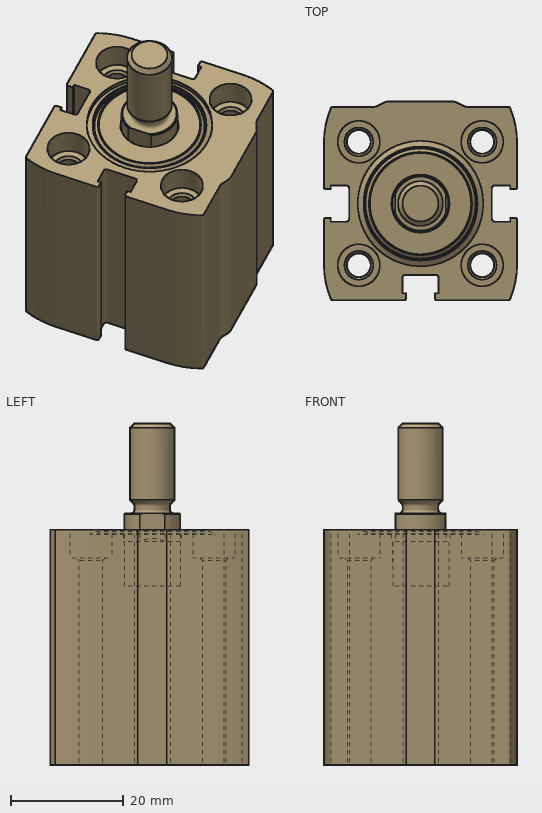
import cadquery as cq

TOTAL_HEIGHT = 61.0
HOUSING_HEIGHT = 42.0
HOUSING_HALF = 17.25

SIDE_FLAT_HALF = 10.8
CORNER_X = 15.9
CORNER_RADIUS = 0.5
BOW_RADIUS = ((HOUSING_HALF - SIDE_FLAT_HALF) ** 2 + (HOUSING_HALF - CORNER_X) ** 2) / (
    2 * (HOUSING_HALF - CORNER_X))
BACK_PAD_HEIGHT = 1.0
BACK_PAD_TOP_HALF = 6.1
BACK_PAD_BASE_HALF = 8.05
BACK_PAD_RADIUS = 1.8

SLOT_MOUTH_WIDTH = 5.1
SLOT_INNER_WIDTH = 6.4
SLOT_LIP = 1.3
SLOT_DEPTH = 4.5
SLOT_MOUTH_RADIUS = 0.35
SLOT_FLOOR_RADIUS = 0.5

BOLT_PITCH = 22.0
BOLT_HOLE_DIAMETER = 4.2
BOLT_SINK_DIAMETER = 5.1
COUNTERBORE_DIAMETER = 7.5
COUNTERBORE_DEPTH = 5.0

RECESS_RADIUS = 22.4 / 2
RECESS_DEPTH = 0.8
RING_OUTER_RADIUS = 10.2
RING_INNER_RADIUS = 20.0 / 2
RING_DEPTH = 0.25
GROOVE_RADIUS = 9.8
GROOVE_DEPTH = 0.6
LIP_OUTER_RADIUS = 9.2
LIP_INNER_RADIUS = 9.0
LIP_DEPTH = 0.1
COVER_DEPTH = 0.25

ROD_DIAMETER = 10.0
ROD_FLATS_WIDTH = 8.95
ROD_EDGE_CHAMFER = 0.2
ROD_SHOULDER = 2.9
ROD_DEPTH = 10.0
THREAD_DIAMETER = 8.0
THREAD_START = 5.3
THREAD_TIP_CHAMFER = 0.8
NECK_DIAMETER = 6.4
NECK_FILLET = 0.7
ROD_CLEARANCE = 0.2
CLEARANCE_DEPTH = 2.0
FLATS_DEPTH = 1.5


def housing_blank():
    """Extruded outline with bowed side ends and a raised pad on the back."""
    half = HOUSING_HALF
    bow_mid_y = (SIDE_FLAT_HALF + half) / 2
    bow_mid_x = half - BOW_RADIUS + (BOW_RADIUS ** 2 - (bow_mid_y - SIDE_FLAT_HALF) ** 2) ** 0.5
    block = (
        cq.Workplane("XY")
        .moveTo(-CORNER_X, -half)
        .lineTo(CORNER_X, -half)
        .threePointArc((bow_mid_x, -bow_mid_y), (half, -SIDE_FLAT_HALF))
        .lineTo(half, SIDE_FLAT_HALF)
        .threePointArc((bow_mid_x, bow_mid_y), (CORNER_X, half))
        .lineTo(BACK_PAD_BASE_HALF, half)
        .lineTo(BACK_PAD_TOP_HALF, half + BACK_PAD_HEIGHT)
        .lineTo(-BACK_PAD_TOP_HALF, half + BACK_PAD_HEIGHT)
        .lineTo(-BACK_PAD_BASE_HALF, half)
        .lineTo(-CORNER_X, half)
        .threePointArc((-bow_mid_x, bow_mid_y), (-half, SIDE_FLAT_HALF))
        .lineTo(-half, -SIDE_FLAT_HALF)
        .threePointArc((-bow_mid_x, -bow_mid_y), (-CORNER_X, -half))
        .close()
        .extrude(HOUSING_HEIGHT)
    )
    corners = [(x, y) for x in (-CORNER_X, CORNER_X) for y in (-half, half)]
    block = fillet_uprights(block, corners, CORNER_RADIUS)
    pad_edges = [
        (side * x, y)
        for side in (-1, 1)
        for x, y in ((BACK_PAD_BASE_HALF, half), (BACK_PAD_TOP_HALF, half + BACK_PAD_HEIGHT))
    ]
    return fillet_uprights(block, pad_edges, BACK_PAD_RADIUS)


def fillet_uprights(body, places, radius):
    """Round the vertical edges of a body that stand at the given XY places."""
    tolerance = 0.005
    edges = cq.Workplane("XY").newObject([
        edge for edge in body.edges("|Z").vals()
        if any(abs(edge.Center().x - x) < tolerance and abs(edge.Center().y - y) < tolerance
               for x, y in places)
    ])
    return body.newObject([body.val().fillet(radius, edges.vals())])


def slot_cutter():
    """T-slot through the full height, open towards -Y."""
    mouth_y = -HOUSING_HALF
    lip_y = mouth_y + SLOT_LIP
    floor_y = mouth_y + SLOT_DEPTH
    mouth_half = SLOT_MOUTH_WIDTH / 2
    inner_half = SLOT_INNER_WIDTH / 2
    radius = SLOT_MOUTH_RADIUS
    arc_inset = radius * (1 - 0.5 ** 0.5)
    slot = (
        cq.Workplane("XY")
        .moveTo(-mouth_half - radius, mouth_y)
        .lineTo(mouth_half + radius, mouth_y)
        .threePointArc((mouth_half + arc_inset, mouth_y + arc_inset), (mouth_half, mouth_y + radius))
        .lineTo(mouth_half, lip_y)
        .lineTo(inner_half, lip_y)
        .lineTo(inner_half, floor_y)
        .lineTo(-inner_half, floor_y)
        .lineTo(-inner_half, lip_y)
        .lineTo(-mouth_half, lip_y)
        .lineTo(-mouth_half, mouth_y + radius)
        .threePointArc((-mouth_half - arc_inset, mouth_y + arc_inset), (-mouth_half - radius, mouth_y))
        .close()
        .extrude(HOUSING_HEIGHT)
    )
    return fillet_uprights(slot, [(-inner_half, floor_y), (inner_half, floor_y)], SLOT_FLOOR_RADIUS)


def bolt_hole_cutter():
    """Counterbored through hole with a countersunk counterbore floor, on the Z axis."""
    floor_z = HOUSING_HEIGHT - COUNTERBORE_DEPTH
    hole_radius = BOLT_HOLE_DIAMETER / 2
    sink_radius = BOLT_SINK_DIAMETER / 2
    bore_radius = COUNTERBORE_DIAMETER / 2
    return revolve_profile(
        cq.Workplane("XZ")
        .moveTo(0, 0)
        .lineTo(hole_radius, 0)
        .lineTo(hole_radius, floor_z - (sink_radius - hole_radius))
        .lineTo(sink_radius, floor_z)
        .lineTo(bore_radius, floor_z)
        .lineTo(bore_radius, HOUSING_HEIGHT)
        .lineTo(0, HOUSING_HEIGHT)
    )


def revolve_profile(profile):
    """Close a half profile in the XZ plane and revolve it around the Z axis."""
    return profile.close().revolve(360, (0, 0, 0), (0, 1, 0))


def cover_recess_cutter():
    """Retaining ring, V-groove, lip and sunken cover face around the rod."""
    top = HOUSING_HEIGHT
    return revolve_profile(
        cq.Workplane("XZ")
        .moveTo(0, top)
        .lineTo(RECESS_RADIUS, top)
        .lineTo(RECESS_RADIUS, top - RECESS_DEPTH)
        .lineTo(RING_OUTER_RADIUS, top - RING_DEPTH)
        .lineTo(RING_INNER_RADIUS, top - RING_DEPTH)
        .lineTo(GROOVE_RADIUS, top - GROOVE_DEPTH)
        .lineTo(LIP_OUTER_RADIUS, top - LIP_DEPTH)
        .lineTo(LIP_INNER_RADIUS, top - LIP_DEPTH)
        .lineTo(LIP_INNER_RADIUS, top - COVER_DEPTH)
        .lineTo(0, top - COVER_DEPTH)
    )


def rod_bore_cutter():
    """Blind bore that fits the rod, widened to a clearance at its mouth."""
    bore_radius = ROD_DIAMETER / 2
    bore = (
        cq.Workplane("XY", origin=(0, 0, HOUSING_HEIGHT - ROD_DEPTH))
        .circle(bore_radius)
        .extrude(ROD_DEPTH)
    )
    mouth = (
        cq.Workplane("XY", origin=(0, 0, HOUSING_HEIGHT - CLEARANCE_DEPTH))
        .circle(bore_radius + ROD_CLEARANCE)
        .extrude(CLEARANCE_DEPTH)
    )
    return bore.union(mouth)


def make_housing():
    housing = housing_blank()
    axis_start, axis_end = (0, 0, 0), (0, 0, 1)
    for angle in (-90, 0, 90):
        housing = housing.cut(slot_cutter().rotate(axis_start, axis_end, angle))
    for x in (-BOLT_PITCH / 2, BOLT_PITCH / 2):
        for y in (-BOLT_PITCH / 2, BOLT_PITCH / 2):
            housing = housing.cut(bolt_hole_cutter().translate((x, y, 0)))
    return housing.cut(cover_recess_cutter()).cut(rod_bore_cutter())


def turned_rod():
    """Rod with a chamfered shoulder, a filleted neck and a chamfered thread end."""
    rod_radius = ROD_DIAMETER / 2
    thread_radius = THREAD_DIAMETER / 2
    neck_radius = NECK_DIAMETER / 2
    shoulder_z = HOUSING_HEIGHT + ROD_SHOULDER
    thread_z = HOUSING_HEIGHT + THREAD_START
    diagonal = NECK_FILLET * 0.5 ** 0.5
    fillet_dip = NECK_FILLET - diagonal
    cone_radius = neck_radius + fillet_dip
    cone_z = thread_z - (thread_radius - cone_radius)
    neck_top_z = cone_z - diagonal
    profile = (
        cq.Workplane("XZ")
        .moveTo(0, HOUSING_HEIGHT - ROD_DEPTH)
        .lineTo(rod_radius, HOUSING_HEIGHT - ROD_DEPTH)
        .lineTo(rod_radius, shoulder_z - ROD_EDGE_CHAMFER)
        .lineTo(rod_radius - ROD_EDGE_CHAMFER, shoulder_z)
        .lineTo(neck_radius + NECK_FILLET, shoulder_z)
        .threePointArc((neck_radius + fillet_dip, shoulder_z + fillet_dip),
                       (neck_radius, shoulder_z + NECK_FILLET))
        .lineTo(neck_radius, neck_top_z)
        .tangentArcPoint((cone_radius, cone_z), relative=False)
        .lineTo(thread_radius, thread_z)
        .lineTo(thread_radius, TOTAL_HEIGHT - THREAD_TIP_CHAMFER)
        .lineTo(thread_radius - THREAD_TIP_CHAMFER, TOTAL_HEIGHT)
        .lineTo(0, TOTAL_HEIGHT)
    )
    return revolve_profile(profile)


def wrench_flats_cutter():
    """Material outside the two wrench flats, ending below on a 45 degree cone."""
    flat_half = ROD_FLATS_WIDTH / 2
    rod_radius = ROD_DIAMETER / 2
    cone_top_z = HOUSING_HEIGHT - FLATS_DEPTH
    cone_base_z = cone_top_z - (rod_radius - flat_half)
    shoulder_z = HOUSING_HEIGHT + ROD_SHOULDER
    outside = revolve_profile(
        cq.Workplane("XZ")
        .moveTo(flat_half, cone_top_z)
        .lineTo(rod_radius, cone_base_z)
        .lineTo(rod_radius, shoulder_z)
        .lineTo(flat_half, shoulder_z)
    )
    between_flats = (
        cq.Workplane("XY", origin=(0, 0, cone_base_z))
        .rect(ROD_FLATS_WIDTH, 2 * ROD_DIAMETER)
        .extrude(shoulder_z - cone_base_z)
    )
    return outside.cut(between_flats)


def make_rod():
    return turned_rod().cut(wrench_flats_cutter())


housing = make_housing()
rod = make_rod()
result = cq.Compound.makeCompound([housing.val(), rod.val()])